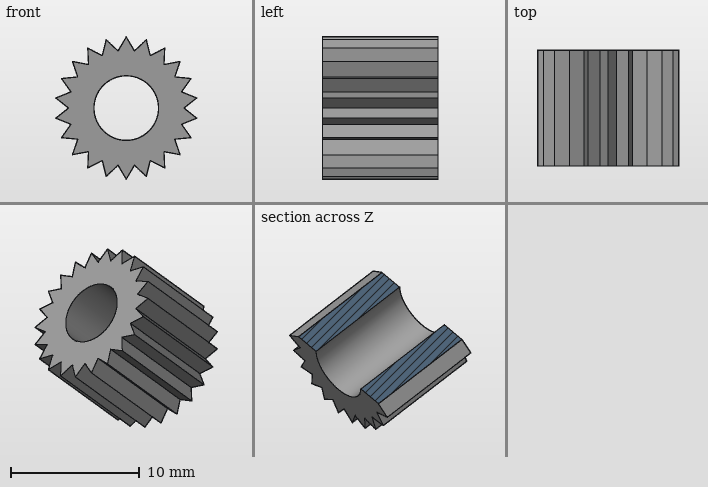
import cadquery as cq
import math

tooth_count = 22
tip_radius = 5.54
root_radius = 4.49
bore_diameter = 5.0
length = 9.0

half_pitch = math.pi / tooth_count


def polar_point(radius, angle):
    """Point in the XZ plane, with the angle measured from +Z."""
    return (radius * math.sin(angle), radius * math.cos(angle))


def gear_outline():
    """Sharp straight-sided teeth: each tip is followed by a root half a pitch on."""
    points = []
    for tooth in range(tooth_count):
        tip_angle = 2 * tooth * half_pitch
        points.append(polar_point(tip_radius, tip_angle))
        points.append(polar_point(root_radius, tip_angle + half_pitch))
    return points


body = cq.Workplane("XZ").polyline(gear_outline()).close().extrude(length / 2, both=True)

bore = cq.Workplane("XZ").circle(bore_diameter / 2).extrude(length / 2, both=True)

result = body.cut(bore)